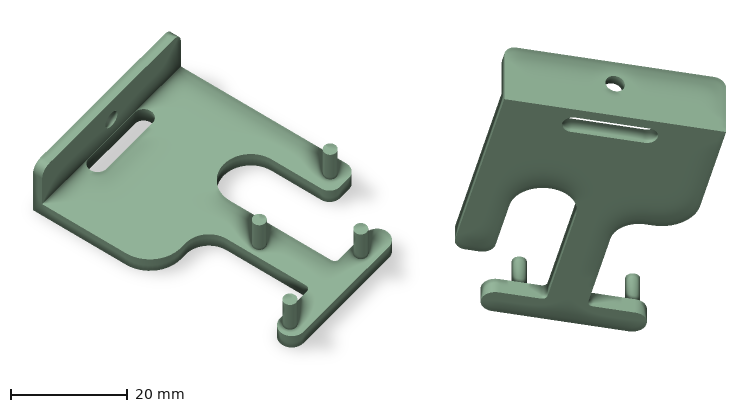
import cadquery as cq

length = 54.9
width = 39.0
height = 12.0

plate_thickness = 3.0
wall_thickness = 2.0
wall_corner_radius = 2.1
wall_hole_diameter = 3.4
wall_hole_height = 7.2

finger_end_x = 40.1
finger_corner_radius = 2.3

arm_front_y = 13.05
arm_back_y = 20.2

notch_width = 11.7
notch_bottom_x = 21.2
notch_radius = notch_width / 2
finger_front_y = arm_back_y + notch_width

body_end_x = 26.8
body_corner_radius = 6.75
arm_root_radius = 5.0

crossbar_width = 5.05
crossbar_front_y = 2.05
crossbar_length = 29.1
crossbar_x = length - crossbar_width / 2
crossbar_fillet = 0.95

slot_width = 3.85
slot_length = 16.8
slot_gap = 0.05
slot_x = wall_thickness + slot_gap + slot_width / 2

pin_diameter = 2.6
pin_top = 9.55
inner_pin_x = 36.95
outer_pin_x = 52.0
pin_places = [
    (inner_pin_x, 35.45),
    (inner_pin_x, 15.55),
    (outer_pin_x, 24.5),
    (outer_pin_x, 4.55),
]


def upright_slot(x, y, size, breadth):
    """Round-ended bar through the plate thickness, running along Y."""
    return cq.Workplane("XY").center(x, y).slot2D(size, breadth, 90).extrude(plate_thickness)


def make_body():
    """Plate with the finger, the rounded front corner and the arm."""
    notch_center_x = notch_bottom_x + notch_radius
    notch_center_y = arm_back_y + notch_radius
    outline = (
        cq.Workplane("XY")
        .lineTo(body_end_x - body_corner_radius, 0)
        .radiusArc((body_end_x, body_corner_radius), -body_corner_radius)
        .lineTo(body_end_x, arm_front_y - arm_root_radius)
        .radiusArc((body_end_x + arm_root_radius, arm_front_y), arm_root_radius)
        .lineTo(crossbar_x, arm_front_y)
        .lineTo(crossbar_x, arm_back_y)
        .lineTo(notch_center_x, arm_back_y)
        .threePointArc((notch_bottom_x, notch_center_y), (notch_center_x, finger_front_y))
        .lineTo(finger_end_x - finger_corner_radius, finger_front_y)
        .radiusArc((finger_end_x, finger_front_y + finger_corner_radius), -finger_corner_radius)
        .lineTo(finger_end_x, width - finger_corner_radius)
        .radiusArc((finger_end_x - finger_corner_radius, width), -finger_corner_radius)
        .lineTo(0, width)
        .close()
    )
    return outline.extrude(plate_thickness)


def add_crossbar(body):
    """Crossbar at the arm end, with filleted inside corners."""
    crossbar_y = crossbar_front_y + crossbar_length / 2
    joined = body.union(upright_slot(crossbar_x, crossbar_y, crossbar_length, crossbar_width))
    inside_x = length - crossbar_width
    for corner_y in (arm_front_y, arm_back_y):
        corner = cq.selectors.NearestToPointSelector((inside_x, corner_y, plate_thickness / 2))
        joined = joined.edges("|Z").edges(corner).fillet(crossbar_fillet)
    return joined


def make_wall():
    """Upright wall with rounded top corners and a central hole."""
    wall = cq.Workplane("XY").box(wall_thickness, width, height, centered=False)
    wall = wall.faces(">Z").edges("|X").fillet(wall_corner_radius)
    hole = (
        cq.Workplane("YZ")
        .center(width / 2, wall_hole_height)
        .circle(wall_hole_diameter / 2)
        .extrude(wall_thickness)
    )
    return wall.cut(hole)


def make_pins():
    """Pins standing on the plate."""
    return cq.Workplane("XY").pushPoints(pin_places).circle(pin_diameter / 2).extrude(pin_top)


plate = add_crossbar(make_body())
plate = plate.cut(upright_slot(slot_x, width / 2, slot_length, slot_width))
result = plate.union(make_wall()).union(make_pins())